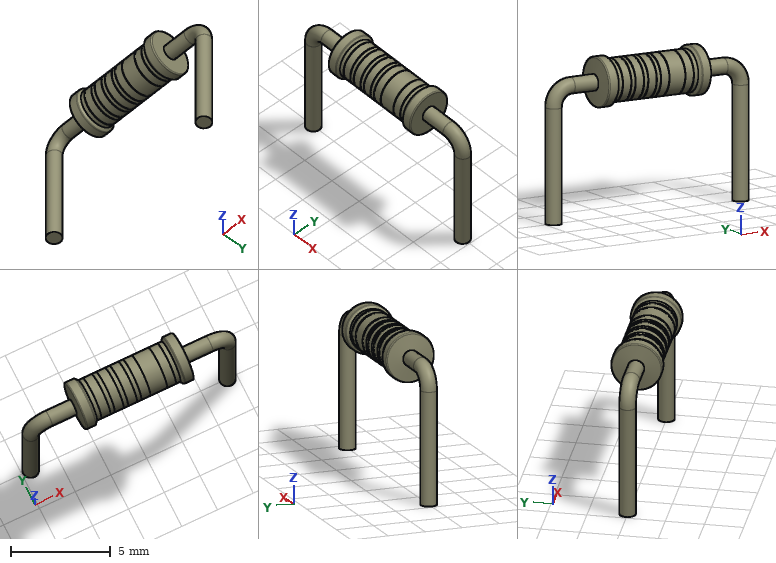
import cadquery as cq

overall_length = 11.85
overall_height = 8.3

cap_diameter = 2.6
barrel_diameter = 2.25
rim_half_length = 3.01
shoulder_offset = 2.48
barrel_half_length = 2.33
nose_height = 0.11
cap_rounding = 0.06

band_inner_diameter = 2.15
band_width = 0.5
band_pitch = 0.75
first_band_center = -1.84
last_band_center = 1.84
close_band_count = 4
band_centers = [first_band_center + i * band_pitch for i in range(close_band_count)]
band_centers.append(last_band_center)

lead_diameter = 0.85
bend_radius = 1.01
lead_radius = lead_diameter / 2
leg_offset = overall_length / 2 - lead_radius
leg_bottom = cap_diameter / 2 - overall_height


def make_band(center):
    """Flat ring around the barrel, centred at the given X."""
    return (
        cq.Workplane("YZ", origin=(center - band_width / 2, 0, 0))
        .circle(barrel_diameter / 2)
        .circle(band_inner_diameter / 2)
        .extrude(band_width)
    )


def make_body(bands):
    """Barrel with a cap at each end and a groove for every band."""
    cap_radius = cap_diameter / 2
    barrel_radius = barrel_diameter / 2
    nose_x = -rim_half_length - nose_height
    blank = (
        cq.Workplane("XY")
        .moveTo(nose_x, 0)
        .lineTo(nose_x, lead_radius)
        .lineTo(-rim_half_length, cap_radius)
        .lineTo(-shoulder_offset, cap_radius)
        .lineTo(-barrel_half_length, barrel_radius)
        .lineTo(barrel_half_length, barrel_radius)
        .lineTo(shoulder_offset, cap_radius)
        .lineTo(rim_half_length, cap_radius)
        .lineTo(rim_half_length, 0)
        .close()
        .revolve(360, (0, 0, 0), (1, 0, 0))
    )
    cap_edges = cq.selectors.RadiusNthSelector(-1)
    body = blank.edges("%CIRCLE").edges(cap_edges).fillet(cap_rounding)
    for band in bands:
        body = body.cut(band)
    return body


def make_lead(side, start_x):
    """Round wire from a body end, bent down; side is -1 or +1 along X."""
    bend_start = side * (leg_offset - bend_radius)
    path = (
        cq.Workplane("XZ")
        .moveTo(start_x, 0)
        .lineTo(bend_start, 0)
        .tangentArcPoint((side * leg_offset, -bend_radius), relative=False)
        .lineTo(side * leg_offset, leg_bottom)
    )
    return cq.Workplane("YZ", origin=(start_x, 0, 0)).circle(lead_radius).sweep(path)


bands = [make_band(center) for center in band_centers]
body = make_body(bands)
left_lead = make_lead(-1, -rim_half_length - nose_height)
right_lead = make_lead(1, rim_half_length)

result = cq.Compound.makeCompound(
    [body.val(), *[band.val() for band in bands], left_lead.val(), right_lead.val()]
)